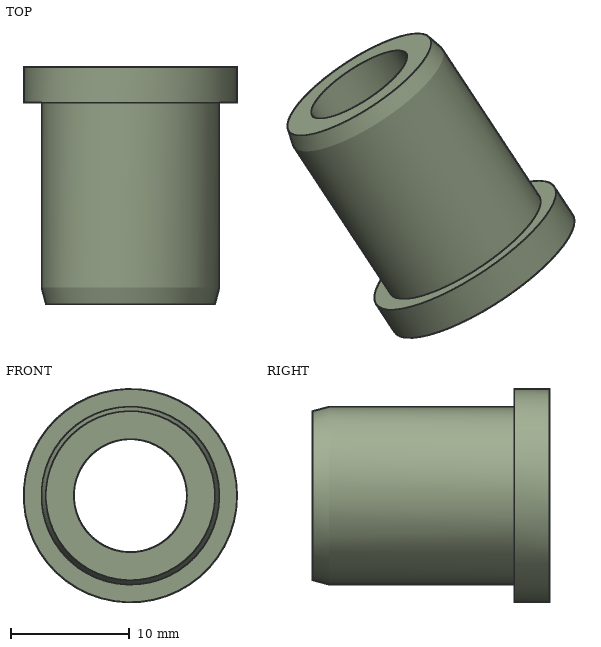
import cadquery as cq
import math

total_length = 20.0
head_diameter = 18.0
head_thickness = 3.0
body_diameter = 15.0
bore_diameter = 9.5
lead_in_length = 1.4
lead_in_angle = 15.0

head_radius = head_diameter / 2
body_radius = body_diameter / 2
bore_radius = bore_diameter / 2
tip_radius = body_radius - lead_in_length * math.tan(math.radians(lead_in_angle))
head_underside = total_length - head_thickness

half_section = (
    cq.Workplane("XY")
    .moveTo(bore_radius, 0)
    .lineTo(tip_radius, 0)
    .lineTo(body_radius, lead_in_length)
    .lineTo(body_radius, head_underside)
    .lineTo(head_radius, head_underside)
    .lineTo(head_radius, total_length)
    .lineTo(bore_radius, total_length)
    .close()
)

result = half_section.revolve(360, (0, 0, 0), (0, 1, 0))